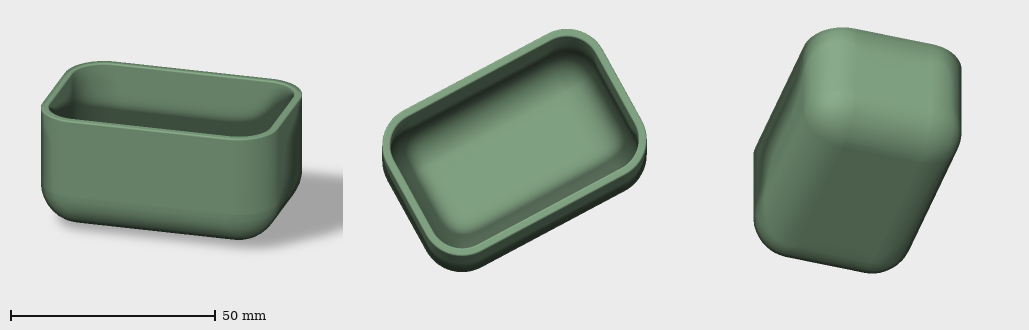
import cadquery as cq

length = 60.0
width = length * 2 / 3
height = length / 2
corner_radius = length / 6

wall = length / 30
rim_fillet = wall / 5


def rounded_block(block_length, block_width, bottom, top, radius):
    """Block with rounded upright corners and a matching rounded bottom edge."""
    block = cq.Workplane("XY").workplane(offset=bottom).rect(block_length, block_width).extrude(top - bottom)
    return block.edges("|Z").fillet(radius).faces("<Z").edges().fillet(radius)


outer = rounded_block(length, width, 0, height, corner_radius)

cavity = rounded_block(
    length - 2 * wall,
    width - 2 * wall,
    wall,
    height,
    corner_radius - wall,
)

tray = outer.cut(cavity)

result = tray.faces(">Z").edges().fillet(rim_fillet)